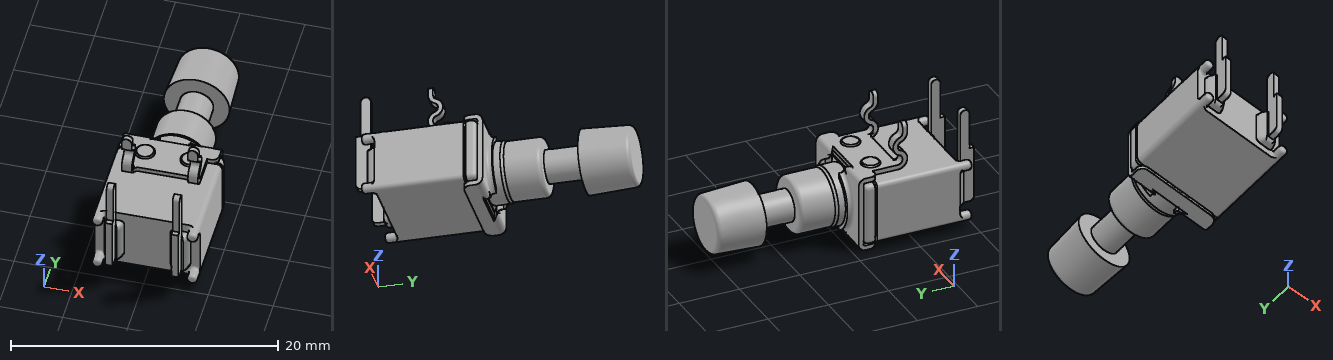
import cadquery as cq
import math


sheet = 0.4
bracket_width = 7.52
bracket_half_height = 3.09
flange_bend = 0.57
lower_flange_end = -1.55
lower_corner = 0.63
shoulder_corner = 0.5
tongue_width = 5.88
tongue_end = -3.68
tongue_fillet = 0.38

leg_spacing = 5.1
leg_width = tongue_width - leg_spacing
leg_center_y = -4.22
leg_bend = 0.6
kink_depth = 0.78
leg_top = 6.53

collar_radius = 2.73
collar_height = 0.45
collar_fillet = 0.25
notch_half_width = 1.18
notch_half_mouth = 1.72
notch_shallow = -0.1
notch_deep = -0.46
notch_floor = 2.08
notch_wall = 0.05
rivet_spacing = 3.49
rivet_y = -1.93
rivet_radius = 0.75
rivet_top_radius = 0.65
rivet_height = 0.13

housing_width = 8.13
housing_height = 5.1
edge_round = 0.4
slab_back = -1.22
slab_round = 0.38
groove_depth = 0.32
groove_back = -1.4
groove_round = 0.25
block_back = -8.25
post_end = -9.3
post_foot = 0.25
post_tip_round = 0.25

bushing_base_radius = 2.4
bushing_radius = 2.31
bushing_base_end = 1.0
bushing_taper_end = 1.26
bushing_end = 4.12
end_round = 0.38

terminal_spacing = leg_spacing
boss_width = 1.55
boss_height = 3.57
boss_bulge = 0.06
boss_round = 0.38
boss_tip_width = 0.82
boss_end = -9.08
blade = 0.53
blade_front = -8.87
blade_back = -10.02
blade_bottom = -1.58
blade_round = 0.4
blade_shoulder = 3.0
pin_width = 0.78
pin_round = 0.38
pin_top = 6.37

shaft_radius = 1.3
cap_back = 7.04
cap_front = 10.99
cap_back_radius = 2.55
cap_front_radius = 2.35
diagonal = math.sqrt(0.5)


def box(x, y, z):
    """Box between two limits on each axis."""
    size = (x[1] - x[0], y[1] - y[0], z[1] - z[0])
    return cq.Workplane("XY").box(*size, centered=False).translate((x[0], y[0], z[0]))


def turned(points):
    """Solid of revolution about the Y axis from (radius, y) points."""
    return cq.Workplane("XY").polyline(points).close().revolve(360, (0, 0, 0), (0, 1, 0))


def bent_strip(start, heading, moves, thickness, width):
    """Sheet strip bent in the YZ plane and centred on X.

    Each move is (length, None) for a straight run or (middle radius, turn) for a bend, the turn
    in degrees and positive to the left.
    """
    half = thickness / 2

    def beside(point, direction, offset):
        angle = math.radians(direction)
        return (point[0] - offset * math.sin(angle), point[1] + offset * math.cos(angle))

    sections = [(start, heading)]
    middles = []
    for amount, turn in moves:
        point, direction = sections[-1]
        if turn is None:
            angle = math.radians(direction)
            end = (point[0] + amount * math.cos(angle), point[1] + amount * math.sin(angle))
            middles.append(None)
            sections.append((end, direction))
        else:
            side = math.copysign(amount, turn)
            center = beside(point, direction, side)
            middles.append((beside(center, direction + turn / 2, -side), direction + turn / 2))
            sections.append((beside(center, direction + turn, -side), direction + turn))

    outline = cq.Workplane("YZ").moveTo(*beside(*sections[0], half))
    for middle, section in zip(middles, sections[1:]):
        if middle is None:
            outline = outline.lineTo(*beside(*section, half))
        else:
            outline = outline.threePointArc(beside(*middle, half), beside(*section, half))
    outline = outline.lineTo(*beside(*sections[-1], -half))
    for middle, section in zip(reversed(middles), reversed(sections[:-1])):
        if middle is None:
            outline = outline.lineTo(*beside(*section, -half))
        else:
            outline = outline.threePointArc(beside(*middle, -half), beside(*section, -half))
    return outline.close().extrude(width / 2, both=True)


def rounded_bar(inset, radius, front, back):
    """Bar along Y with rounded long edges, smaller than the housing by the inset all round."""
    width = housing_width - 2 * inset
    height = housing_height - 2 * inset
    return box((-width / 2, width / 2), (back, front), (-height / 2, height / 2)).edges("|Y").fillet(radius)


def housing_block():
    slab = rounded_bar(0, edge_round, -sheet, slab_back).faces(">Y").edges().fillet(slab_round)
    core = rounded_bar(groove_depth, groove_round, slab_back, groove_back)
    block = rounded_bar(0, edge_round, groove_back, post_end).cut(space_between_posts())
    block = block.faces("<Y").edges().fillet(post_tip_round)
    return slab.union(core).union(block)


def space_between_posts():
    """Space behind the back face, leaving a post with a flared foot in each corner."""
    foot_end = block_back - post_foot
    post = (
        cq.Workplane("XY")
        .moveTo(0, block_back)
        .lineTo(edge_round + post_foot, block_back)
        .threePointArc(
            (edge_round + post_foot * (1 - diagonal), foot_end + post_foot * diagonal),
            (edge_round, foot_end),
        )
        .lineTo(edge_round, post_end)
        .lineTo(0, post_end)
        .close()
        .revolve(360, (0, 0, 0), (0, 1, 0))
    )
    corner = box((0, 2 * edge_round), (post_end, block_back), (0, 2 * edge_round))
    kept = post.union(corner)

    width = housing_width / 2
    height = housing_height / 2
    quadrant = box((0, width + edge_round), (post_end, block_back), (0, height + edge_round))
    quadrant = quadrant.cut(kept.translate((width - edge_round, 0, height - edge_round)))
    half = quadrant.union(quadrant.mirror("YZ"))
    return half.union(half.mirror("XY"))


def bushing():
    body = turned([
        (0, slab_back),
        (bushing_base_radius, slab_back),
        (bushing_base_radius, bushing_base_end),
        (bushing_radius, bushing_taper_end),
        (bushing_radius, bushing_end),
        (0, bushing_end),
    ])
    body = body.faces(">Y").edges().fillet(end_round)
    bore = turned([(0, -sheet), (shaft_radius, -sheet), (shaft_radius, bushing_end), (0, bushing_end)])
    return body, bore


def terminal(x):
    """Blade with an upright pin, standing in a tapered boss on the back face."""
    base = boss_width / 2
    tip = boss_tip_width / 2
    middle = ((base + tip) / 2 + boss_bulge, (block_back + boss_end) / 2)
    boss = (
        cq.Workplane("XY")
        .moveTo(-base, block_back)
        .lineTo(base, block_back)
        .threePointArc(middle, (tip, boss_end))
        .lineTo(-tip, boss_end)
        .threePointArc((-middle[0], middle[1]), (-base, block_back))
        .close()
        .extrude(boss_height / 2, both=True)
    )
    boss = boss.faces(">Z or <Z").edges("not >Y").fillet(boss_round)
    x_limits = (-blade / 2, blade / 2)
    plate = box(x_limits, (blade_back, blade_front), (blade_bottom, blade_shoulder))
    plate = plate.edges("|X and <Y and <Z").fillet(blade_round)
    pin = box(x_limits, (blade_front - pin_width, blade_front), (0, pin_top))
    pin = pin.edges("|X and >Z").fillet(pin_round)
    return boss.union(plate).union(pin).translate((x, 0, 0))


def make_housing():
    body, bore = bushing()
    housing = housing_block().union(body).cut(bore)
    for side in (-1, 1):
        housing = housing.union(terminal(side * terminal_spacing / 2))
    return housing


def bent_sheet():
    """Lower flange, plate, upper flange and kinked legs as one strip of full width."""
    middle = bracket_half_height - sheet / 2
    bend = flange_bend - sheet / 2
    bend_start = -flange_bend
    lean = math.degrees(math.acos(1 - kink_depth / (2 * leg_bend)))
    kink_height = 4 * leg_bend * math.sin(math.radians(lean))
    moves = [
        (bend_start - lower_flange_end, None),
        (bend, 90),
        (2 * (middle - bend), None),
        (bend, 90),
        (bend_start - leg_center_y - leg_bend, None),
        (leg_bend, -90 - lean),
        (leg_bend, 2 * lean),
        (leg_bend, -lean),
        (leg_top - middle - leg_bend - kink_height, None),
    ]
    return bent_strip((lower_flange_end, -middle), 0, moves, sheet, bracket_width)


def upper_flange_plan():
    """Plan outline of the upper flange and legs, as a tall prism."""
    reach = leg_center_y - leg_bend
    inner = leg_spacing - leg_width
    shoulders = box((-bracket_width / 2, bracket_width / 2), (lower_flange_end, 0), (0, leg_top))
    shoulders = shoulders.edges("|Z and <Y").fillet(shoulder_corner)
    tongue = box((-tongue_width / 2, tongue_width / 2), (reach, -flange_bend), (0, leg_top))
    gap = box((-inner / 2, inner / 2), (reach, tongue_end), (0, leg_top))
    gap = gap.edges("|Z and >Y").fillet(tongue_fillet)
    above = box((-inner / 2, inner / 2), (reach, -flange_bend), (bracket_half_height, leg_top))
    return shoulders.union(tongue).cut(gap).cut(above)


def leg_tips():
    """All the space below the rounded tips of the legs, with a full round over each leg."""
    depth = -leg_center_y + sheet
    tip_center = leg_top - leg_width / 2
    space = box((-bracket_width / 2, bracket_width / 2), (-depth, 0), (0, tip_center))
    for side in (-1, 1):
        tip = (
            cq.Workplane("XZ", origin=(side * leg_spacing / 2, 0, tip_center))
            .circle(leg_width / 2)
            .extrude(depth)
        )
        space = space.union(tip)
    return space


def collar_notch():
    """Opening above the bushing, through the collar and into the bend."""
    top = bracket_half_height
    floor_end = notch_wall - sheet
    plan = (
        cq.Workplane("XY")
        .polyline([
            (-notch_half_mouth, notch_deep),
            (notch_half_mouth, notch_deep),
            (notch_half_width, notch_shallow),
            (notch_half_width, collar_height),
            (-notch_half_width, collar_height),
            (-notch_half_width, notch_shallow),
        ])
        .close()
        .extrude(top)
    )
    side = (
        cq.Workplane("YZ")
        .polyline([
            (collar_height, notch_floor),
            (notch_shallow, notch_floor),
            (floor_end, bushing_base_radius),
            (floor_end, top - flange_bend),
            (notch_deep, top - sheet + notch_wall),
            (notch_deep, top),
            (collar_height, top),
        ])
        .close()
        .extrude(notch_half_mouth, both=True)
    )
    return plan.intersect(side)


def make_bracket():
    sheet_metal = bent_sheet()
    upper = sheet_metal.intersect(upper_flange_plan()).intersect(leg_tips())
    lower = sheet_metal.intersect(
        box((-bracket_width / 2, bracket_width / 2), (lower_flange_end, 0), (-bracket_half_height, 0))
        .edges("|Z and <Y")
        .fillet(lower_corner)
    )
    bracket = upper.union(lower)

    collar = (
        cq.Workplane("XY")
        .moveTo(bushing_base_radius, -sheet)
        .lineTo(collar_radius + collar_fillet, -sheet)
        .lineTo(collar_radius + collar_fillet, 0)
        .threePointArc(
            (collar_radius + collar_fillet * (1 - diagonal), collar_fillet * (1 - diagonal)),
            (collar_radius, collar_fillet),
        )
        .lineTo(collar_radius, collar_height)
        .lineTo(bushing_base_radius, collar_height)
        .close()
        .revolve(360, (0, 0, 0), (0, 1, 0))
    )
    opening = cq.Workplane("XZ").circle(bushing_base_radius).extrude(sheet)
    notch = collar_notch()
    bracket = bracket.cut(opening).union(collar).cut(notch).cut(notch.mirror("XY"))

    for side in (-1, 1):
        head = (
            cq.Workplane("XY", origin=(side * rivet_spacing / 2, rivet_y, bracket_half_height))
            .circle(rivet_radius)
            .workplane(offset=rivet_height)
            .circle(rivet_top_radius)
            .loft()
        )
        bracket = bracket.union(head)
    return bracket


def make_button():
    cap = turned([(0, cap_back), (cap_back_radius, cap_back), (cap_front_radius, cap_front), (0, cap_front)])
    cap = cap.faces(">Y").edges().fillet(end_round)
    shaft = turned([(0, -sheet), (shaft_radius, -sheet), (shaft_radius, cap_back), (0, cap_back)])
    return cap.union(shaft)


housing = make_housing()
bracket = make_bracket()
button = make_button()

result = cq.Compound.makeCompound([body.solids().val() for body in (housing, bracket, button)])